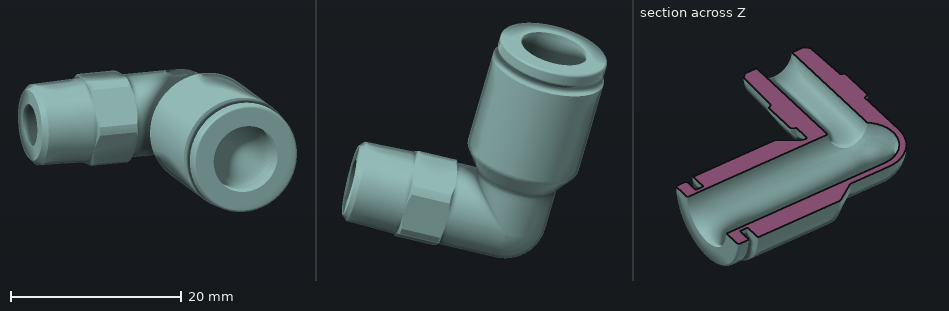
import cadquery as cq
import math


BODY_RADIUS = 4.9
TUBE_BORE_RADIUS = 4.0
THREAD_BORE_RADIUS = 2.5

COLLAR_RADIUS = 6.75
CONE_START = 5.48
CONE_END = 8.15
CONE_BLEND_RADIUS = 0.8
COLLAR_END = 19.95

RING_NECK_RADIUS = 4.6
RING_FLANGE_RADIUS = 6.5
RING_FLANGE_START = 21.0
RING_END = 22.6
RING_EDGE_FILLET = 0.3

HEX_START = 7.1
HEX_END = 12.25
THREAD_END = 18.75

HEX_SIDES = 6
HEX_ACROSS_FLATS = 10.0
HEX_CORNER_RADIUS = 5.5
HEX_BODY_CHAMFER_RADIAL = 0.4
HEX_THREAD_CHAMFER_RADIAL = 0.5
HEX_CHAMFER_AXIAL = 0.27

GAUGE_DIAMETER = 9.728
GAUGE_RADIUS = GAUGE_DIAMETER / 2
GAUGE_DISTANCE = 15.75
TAPER_ON_DIAMETER = 1 / 16
TAPER_ON_RADIUS = TAPER_ON_DIAMETER / 2
TIP_CHAMFER = 0.6

RECESS_RADIUS = 1.75
RECESS_FLOOR_Z = 4.4


def thread_radius(distance):
    """Radius of the taper thread at a distance from the tube axis."""
    return GAUGE_RADIUS + (GAUGE_DISTANCE - distance) * TAPER_ON_RADIUS


def make_tube_arm():
    """Round body, cone and collar with blended cone edges, along +X."""
    profile = (
        cq.Workplane("XY")
        .lineTo(0, BODY_RADIUS)
        .lineTo(CONE_START, BODY_RADIUS)
        .lineTo(CONE_END, COLLAR_RADIUS)
        .lineTo(COLLAR_END, COLLAR_RADIUS)
        .lineTo(COLLAR_END, 0)
        .close()
    )
    arm = profile.revolve(360, (0, 0, 0), (1, 0, 0))
    cone_edges = cq.selectors.BoxSelector(
        (BODY_RADIUS, -COLLAR_RADIUS, -COLLAR_RADIUS),
        (CONE_END + CONE_BLEND_RADIUS, COLLAR_RADIUS, COLLAR_RADIUS),
    )
    return arm.edges(cone_edges).edges("%CIRCLE").fillet(CONE_BLEND_RADIUS)


def make_release_ring():
    """Neck and rounded flange beyond the open end of the collar."""
    flange = (
        cq.Workplane("YZ", origin=(RING_FLANGE_START, 0, 0))
        .circle(RING_FLANGE_RADIUS)
        .extrude(RING_END - RING_FLANGE_START)
        .edges()
        .fillet(RING_EDGE_FILLET)
    )
    neck = (
        cq.Workplane("YZ", origin=(COLLAR_END, 0, 0))
        .circle(RING_NECK_RADIUS)
        .extrude(RING_FLANGE_START - COLLAR_END)
    )
    return neck.union(flange)


def make_hexagon():
    """Hexagon on the threaded arm, with turned corners and chamfered ends."""
    across_corners = HEX_ACROSS_FLATS / math.cos(math.pi / HEX_SIDES)
    prism = (
        cq.Workplane("XZ", origin=(0, -HEX_START, 0))
        .polygon(HEX_SIDES, across_corners)
        .extrude(HEX_END - HEX_START)
    )
    turned_envelope = (
        cq.Workplane("XY")
        .moveTo(0, -HEX_START)
        .lineTo(HEX_CORNER_RADIUS - HEX_BODY_CHAMFER_RADIAL, -HEX_START)
        .lineTo(HEX_CORNER_RADIUS, -HEX_START - HEX_CHAMFER_AXIAL)
        .lineTo(HEX_CORNER_RADIUS, -HEX_END + HEX_CHAMFER_AXIAL)
        .lineTo(HEX_CORNER_RADIUS - HEX_THREAD_CHAMFER_RADIAL, -HEX_END)
        .lineTo(0, -HEX_END)
        .close()
        .revolve(360, (0, 0, 0), (0, 1, 0))
    )
    return prism.intersect(turned_envelope)


def make_thread():
    """Taper thread envelope with a chamfered tip."""
    chamfer_start = THREAD_END - TIP_CHAMFER
    tip_radius = thread_radius(chamfer_start) - TIP_CHAMFER
    return (
        cq.Workplane("XY")
        .moveTo(0, -HEX_END)
        .lineTo(thread_radius(HEX_END), -HEX_END)
        .lineTo(thread_radius(chamfer_start), -chamfer_start)
        .lineTo(tip_radius, -THREAD_END)
        .lineTo(0, -THREAD_END)
        .close()
        .revolve(360, (0, 0, 0), (0, 1, 0))
    )


def make_elbow_passage():
    """Bore through both arms; the wider tube bore has a spherical end at the elbow."""
    tube_bore = cq.Workplane("YZ").circle(TUBE_BORE_RADIUS).extrude(RING_END)
    thread_bore = cq.Workplane("XZ").circle(THREAD_BORE_RADIUS).extrude(THREAD_END)
    bore_corner = cq.Workplane("XY").sphere(TUBE_BORE_RADIUS)
    return tube_bore.union(thread_bore).union(bore_corner)


def make_marking_recess():
    """Flat-bottomed round recess over the elbow centre."""
    return (
        cq.Workplane("XY", origin=(0, 0, RECESS_FLOOR_Z))
        .circle(RECESS_RADIUS)
        .extrude(BODY_RADIUS)
    )


def make_thread_arm_body():
    """Round body along -Y with a spherical end that closes the elbow corner."""
    arm = cq.Workplane("XZ").circle(BODY_RADIUS).extrude(HEX_START)
    elbow_corner = cq.Workplane("XY").sphere(BODY_RADIUS)
    return arm.union(elbow_corner)


fitting = (
    make_tube_arm()
    .union(make_thread_arm_body())
    .union(make_release_ring())
    .union(make_hexagon())
    .union(make_thread())
)
result = fitting.cut(make_elbow_passage()).cut(make_marking_recess())